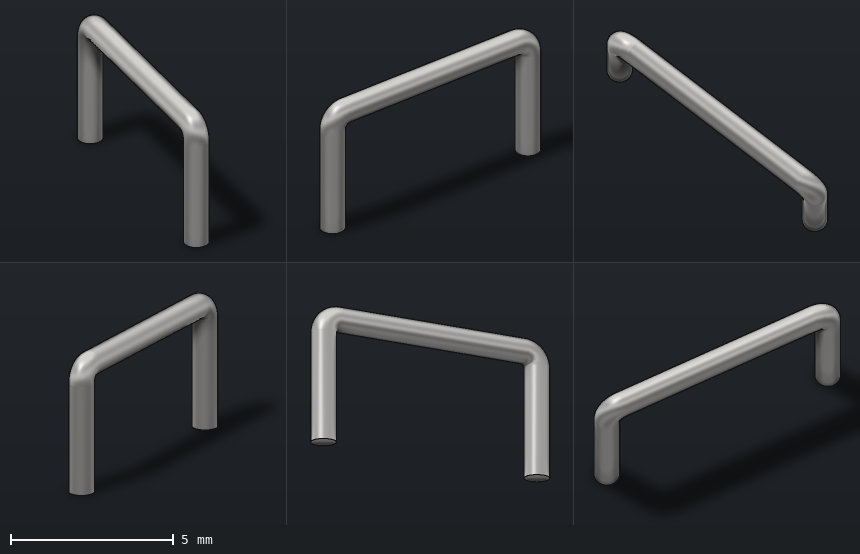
import cadquery as cq

overall_length = 8.42
overall_height = 4.4
wire_diameter = 0.8
inner_bend_radius = 0.1

wire_radius = wire_diameter / 2
bend_radius = inner_bend_radius + wire_radius
leg_x = overall_length / 2 - wire_radius
bridge_z = overall_height - wire_radius
bend_start_z = bridge_z - bend_radius
bridge_end_x = leg_x - bend_radius

centreline = (
    cq.Workplane("XZ")
    .moveTo(-leg_x, 0)
    .lineTo(-leg_x, bend_start_z)
    .tangentArcPoint((-bridge_end_x, bridge_z), relative=False)
    .lineTo(bridge_end_x, bridge_z)
    .tangentArcPoint((leg_x, bend_start_z), relative=False)
    .lineTo(leg_x, 0)
)

result = cq.Workplane("XY").center(-leg_x, 0).circle(wire_radius).sweep(centreline)